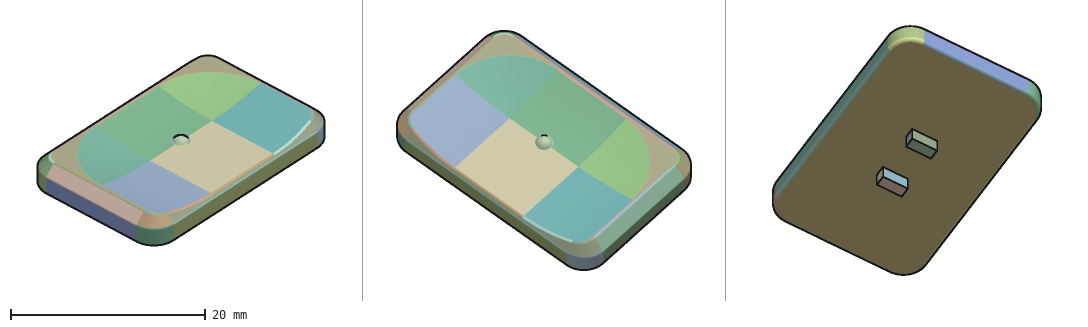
import cadquery as cq
import math

LENGTH = 27.5
WIDTH = 18.0
THICKNESS = 3.5
CORNER_RADIUS = 2.72

TOP_BEVEL = 1.25
TOP_EDGE_RADIUS = 0.38
BEVEL_FOOT_RADIUS = 0.25
BOTTOM_EDGE_RADIUS = 0.38

DISH_DEPTH = 0.88
DISH_SIDE_RUN = 7.45
FLOOR_HALF_LENGTH = 4.73
FLOOR_Z = THICKNESS - DISH_DEPTH

DOME_RADIUS = 0.9
DOME_HEIGHT = 0.55
DOME_FOOT_RADIUS = 0.1

LEG_WIDTH = 3.0
LEG_THICKNESS = 1.2
LEG_HEIGHT = 1.65
LEG_OFFSET = 2.9

OVERRUN = 0.55


def arc_radius(run, rise):
    """Radius of an arc that starts level and climbs the rise over the run."""
    return (run**2 + rise**2) / (2 * rise)


def arc_middle(run, rise):
    """Point halfway along that arc, measured from its level end."""
    radius = arc_radius(run, rise)
    half_sweep = math.asin(run / radius) / 2
    return radius * math.sin(half_sweep), radius * (1 - math.cos(half_sweep))


def nearest(x, y, z):
    """Selector for the edge whose centre is closest to the given point."""
    return cq.selectors.NearestToPointSelector((x, y, z))


def bevelled_plate():
    """Rounded plate with a 45 degree bevel around the top."""
    blank = cq.Workplane("XY").rect(WIDTH, LENGTH).extrude(THICKNESS)
    return blank.edges("|Z").fillet(CORNER_RADIUS).faces(">Z").chamfer(TOP_BEVEL)


def dish_side(origin, outward, normal):
    """Closed outline above one arched side, standing on the floor and climbing outward."""
    plane = cq.Plane(origin=origin, xDir=outward, normal=normal)
    return (
        cq.Workplane(plane)
        .moveTo(0, 0)
        .threePointArc(arc_middle(DISH_SIDE_RUN, DISH_DEPTH), (DISH_SIDE_RUN, DISH_DEPTH))
        .lineTo(DISH_SIDE_RUN, DISH_DEPTH + OVERRUN)
        .lineTo(0, DISH_DEPTH + OVERRUN)
        .close()
    )


def dish_cutter():
    """Volume of the dish: flat middle, arched -X and Y sides, rounded -X corners."""
    reach = WIDTH / 2 + OVERRUN
    floor_length = 2 * FLOOR_HALF_LENGTH
    cutter = cq.Workplane("XY", origin=(reach / 2, 0, FLOOR_Z)).box(
        reach, floor_length, DISH_DEPTH + OVERRUN, centered=(True, True, False)
    )
    left_start = (0, -FLOOR_HALF_LENGTH, FLOOR_Z)
    cutter = cutter.union(dish_side(left_start, (-1, 0, 0), (0, 1, 0)).extrude(floor_length))

    back_start = (0, FLOOR_HALF_LENGTH, FLOOR_Z)
    back_straight = dish_side(back_start, (0, 1, 0), (1, 0, 0)).extrude(reach)
    back_corner = dish_side(back_start, (0, 1, 0), (1, 0, 0)).revolve(90, (0, 0), (0, 1))
    back = back_straight.union(back_corner)
    return cutter.union(back).union(back.mirror("XZ"))


def dome():
    """Spherical cap on the dish floor, with a root sunk into the plate."""
    middle_x, middle_drop = arc_middle(DOME_RADIUS, DOME_HEIGHT)
    return (
        cq.Workplane("XZ", origin=(0, 0, FLOOR_Z))
        .moveTo(0, -OVERRUN)
        .lineTo(DOME_RADIUS, -OVERRUN)
        .lineTo(DOME_RADIUS, 0)
        .threePointArc((middle_x, DOME_HEIGHT - middle_drop), (0, DOME_HEIGHT))
        .close()
        .revolve(360, (0, 0), (0, 1))
    )


def legs():
    """Two rectangular legs reaching down from the underside."""
    return (
        cq.Workplane("XY", origin=(0, 0, -LEG_HEIGHT))
        .pushPoints([(0, -LEG_OFFSET), (0, LEG_OFFSET)])
        .rect(LEG_WIDTH, LEG_THICKNESS)
        .extrude(LEG_HEIGHT + OVERRUN)
    )


plate = bevelled_plate()
plate = plate.faces("<Z").edges().fillet(BOTTOM_EDGE_RADIUS)
plate = plate.edges(nearest(0, LENGTH / 2, THICKNESS - TOP_BEVEL)).fillet(BEVEL_FOOT_RADIUS)

plate = plate.cut(dish_cutter())
run_out_edge = plate.edges(nearest(WIDTH / 2 - TOP_BEVEL + DISH_DEPTH, 0, FLOOR_Z))
plate = plate.faces(">Z").edges().add(run_out_edge).fillet(TOP_EDGE_RADIUS)

plate = plate.union(dome(), clean=False)
foot_zone = cq.selectors.BoxSelector(
    (-DOME_RADIUS, -DOME_RADIUS, FLOOR_Z - DOME_FOOT_RADIUS),
    (DOME_RADIUS, DOME_RADIUS, FLOOR_Z + DOME_FOOT_RADIUS),
)
plate = plate.edges(foot_zone).fillet(DOME_FOOT_RADIUS)

result = plate.union(legs())